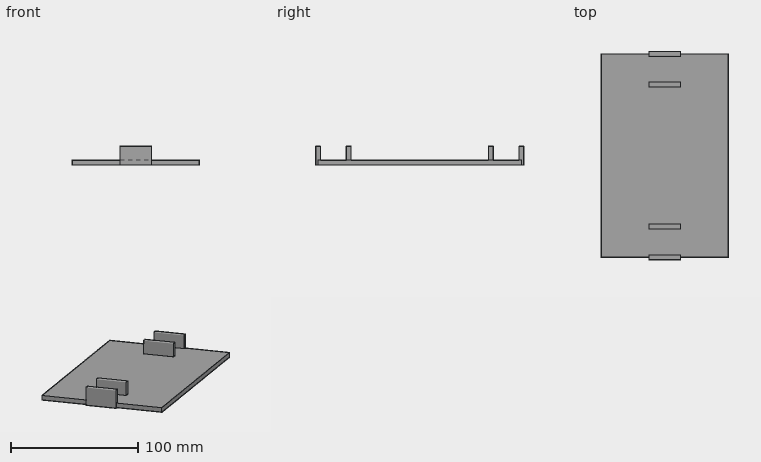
import cadquery as cq

plate_width = 100.0
plate_thickness = 4.0

edge_radius = 0.5

overall_length = 164.0
overall_height = 15.0
tab_width = 25.0
tab_thickness = 4.0
inner_tab_offset = 56.0

outer_tab_offset = (overall_length - tab_thickness) / 2
plate_length = 2 * outer_tab_offset


def make_tab(offset_y):
    """Full-height tab with its long edges rounded at top and bottom."""
    return (
        cq.Workplane("XY")
        .box(tab_width, tab_thickness, overall_height, centered=(True, True, False))
        .edges("|X")
        .fillet(edge_radius)
        .translate((0, offset_y, 0))
    )


result = cq.Workplane("XY").box(
    plate_width, plate_length, plate_thickness, centered=(True, True, False)
)
result = result.faces("<Z").edges("|X").fillet(edge_radius)

for offset in (inner_tab_offset, outer_tab_offset):
    for side in (-1, 1):
        result = result.union(make_tab(side * offset))